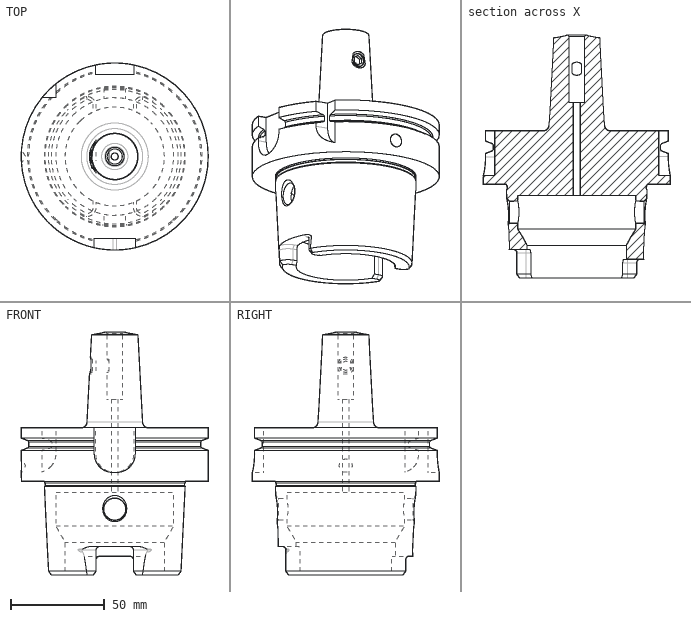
import cadquery as cq
import math


flange_radius = 50.0
flange_top = 28.7
groove_height = 19.9
groove_floor_radius = 46.0
groove_shoulder_radius = 46.6
groove_mouth_half = 3.2
groove_shoulder_half = 2.0
groove_floor_half = 1.3

shank_length = 50.0
taper_top_radius = 37.7
taper_bottom_radius = 35.5
relief_radius = 37.3
relief_top = 0.8
relief_slope_start = 2.2
relief_bottom = 2.7
shank_mouth_radius = 26.5
shank_undercut_radius = 31.5
shank_undercut_cone_bottom = -32.5
shank_undercut_cone_top = -23.9
shank_bore_top = -6.0
shank_chamfer_width = 1.5
shank_chamfer_height = 2.1

overall_height = 129.9
nose_top = overall_height - shank_length
nose_root_radius = 15.0
nose_root_fillet = 3.0
nose_tip_radius = 12.5
nose_shoulder = 78.5
nose_edge_chamfer = 0.3
face_inner_radius = 7.0
face_inner_height = 79.4
rim_radius = 5.3

tool_bore_radius = 4.0
tool_bore_depth = 36.0
tool_bore_chamfer = 0.9
coolant_radius = 1.8

screw_height = 61.8
spotface_radius = 4.5
spotface_x = -12.7
screw_radius = 3.5
screw_head_x = -12.0
screw_tip_x = -3.1
socket_across_corners = 5.2
socket_depth = 2.0

slot_floor = 43.9
slot_bottom = 4.8
front_slot_width = 22.0
rear_slot_width = 20.4
front_slot_corner_radius = 10.0
slot_length = 13.0
notch_wall_x = -31.5
notch_floor_y = 31.6

chip_hole_radius = 3.5
chip_hole_height = 8.5
chip_hole_depth = 0.3
drill_half_angle = 59.0

cross_hole_height = -14.8
cross_hole_radius = 5.8
cross_hole_mouth_radius = 7.0

keyway_width = 19.9
keyway_half_width = keyway_width / 2
keyway_side_reach = 32.1
key_round = 5.1
key_flank_angle = 30.0
keyway_ceiling_fillet = 1.8
front_keyway_top = -34.8
rear_keyway_top = -40.0

clearance = 6.5


def outer_body():
    """Solid of revolution of shank, flange and nose, without any bores."""
    bottom = -shank_length
    fillet_end = nose_root_radius + nose_root_fillet
    fillet_mid = nose_root_fillet * (1 - math.sqrt(0.5))
    return (
        cq.Workplane("XZ")
        .moveTo(0, bottom)
        .lineTo(taper_bottom_radius - shank_chamfer_width, bottom)
        .lineTo(taper_bottom_radius, bottom + shank_chamfer_height)
        .lineTo(taper_top_radius, -relief_bottom)
        .lineTo(relief_radius, -relief_slope_start)
        .lineTo(relief_radius, -relief_top)
        .lineTo(taper_top_radius, -relief_top)
        .lineTo(taper_top_radius, 0)
        .lineTo(flange_radius, 0)
        .lineTo(flange_radius, groove_height - groove_mouth_half)
        .lineTo(groove_shoulder_radius, groove_height - groove_shoulder_half)
        .lineTo(groove_floor_radius, groove_height - groove_floor_half)
        .lineTo(groove_floor_radius, groove_height + groove_floor_half)
        .lineTo(groove_shoulder_radius, groove_height + groove_shoulder_half)
        .lineTo(flange_radius, groove_height + groove_mouth_half)
        .lineTo(flange_radius, flange_top)
        .lineTo(fillet_end, flange_top)
        .threePointArc(
            (nose_root_radius + fillet_mid, flange_top + fillet_mid),
            (nose_root_radius, flange_top + nose_root_fillet),
        )
        .lineTo(nose_tip_radius, nose_shoulder - nose_edge_chamfer)
        .lineTo(nose_tip_radius - nose_edge_chamfer, nose_shoulder)
        .lineTo(face_inner_radius, face_inner_height)
        .lineTo(rim_radius, nose_top)
        .lineTo(0, nose_top)
        .close()
        .revolve(360, (0, 0, 0), (0, 1, 0))
    )


def keyway_outline(z):
    """Keyway outline on the -Y side at height z, flaring outward around the two rounded keys."""
    angle = math.radians(key_flank_angle)
    mid_angle = (angle + math.pi / 2) / 2
    round_x = keyway_half_width + key_round
    round_y = -keyway_side_reach + key_round
    tangent_x = round_x + key_round * math.sin(angle)
    tangent_y = round_y - key_round * math.cos(angle)
    mid_x = round_x - key_round * math.cos(mid_angle)
    mid_y = round_y - key_round * math.sin(mid_angle)
    outer_x = taper_top_radius
    flank_end_y = tangent_y + (outer_x - tangent_x) * math.tan(angle)
    return (
        cq.Workplane("XY", origin=(0, 0, z))
        .moveTo(-keyway_half_width, 0)
        .lineTo(keyway_half_width, 0)
        .lineTo(keyway_half_width, round_y)
        .threePointArc((mid_x, mid_y), (tangent_x, tangent_y))
        .lineTo(outer_x, flank_end_y)
        .lineTo(outer_x, -flange_radius)
        .lineTo(-outer_x, -flange_radius)
        .lineTo(-outer_x, flank_end_y)
        .lineTo(-tangent_x, tangent_y)
        .threePointArc((-mid_x, mid_y), (-keyway_half_width, round_y))
        .close()
    )


def keyway(top):
    """Keyway with a filleted ceiling and a flared foot that chamfers the key ends."""
    bottom = -shank_length
    flare_angle = math.degrees(math.atan(shank_chamfer_width / shank_chamfer_height))
    slot = keyway_outline(bottom).extrude(top - bottom).faces(">Z").edges().fillet(keyway_ceiling_fillet)
    foot = keyway_outline(bottom + shank_chamfer_height).extrude(-shank_chamfer_height, taper=-flare_angle)
    return slot.union(foot)


def shank_bore():
    """Bore of the hollow shank, widened above a conical clamping shoulder."""
    return (
        cq.Workplane("XZ")
        .moveTo(0, -shank_length)
        .lineTo(shank_mouth_radius, -shank_length)
        .lineTo(shank_mouth_radius, shank_undercut_cone_bottom)
        .lineTo(shank_undercut_radius, shank_undercut_cone_top)
        .lineTo(shank_undercut_radius, shank_bore_top)
        .lineTo(0, shank_bore_top)
        .close()
        .revolve(360, (0, 0, 0), (0, 1, 0))
    )


def cut_keyways(body):
    front = keyway(front_keyway_top)
    rear = keyway(rear_keyway_top).rotate((0, 0, 0), (0, 0, 1), 180)
    return body.cut(front).cut(rear)


def cross_hole():
    """Through hole along Y with a 45 degree countersink at each end."""
    taper_slope = (taper_top_radius - taper_bottom_radius) / (shank_length - relief_bottom)
    surface_y = taper_top_radius + (cross_hole_height + relief_bottom) * taper_slope
    cone_base = surface_y + clearance
    cone_radius = cross_hole_mouth_radius + clearance
    half_profile = (
        cq.Workplane("XY", origin=(0, 0, cross_hole_height))
        .moveTo(0, 0)
        .lineTo(cross_hole_radius, 0)
        .lineTo(cross_hole_radius, cone_base - (cone_radius - cross_hole_radius))
        .lineTo(cone_radius, cone_base)
        .lineTo(0, cone_base)
        .close()
        .revolve(360, (0, 0, 0), (0, 1, 0))
    )
    return half_profile.union(half_profile.mirror("XZ"))


def tool_bore():
    """Tool bore with a chamfered mouth and the coolant hole below it."""
    floor = nose_top - tool_bore_depth
    return (
        cq.Workplane("XZ")
        .moveTo(0, shank_bore_top - clearance)
        .lineTo(coolant_radius, shank_bore_top - clearance)
        .lineTo(coolant_radius, floor)
        .lineTo(tool_bore_radius, floor)
        .lineTo(tool_bore_radius, nose_top - tool_bore_chamfer)
        .lineTo(tool_bore_radius + tool_bore_chamfer, nose_top)
        .lineTo(0, nose_top)
        .close()
        .revolve(360, (0, 0, 0), (0, 1, 0))
    )


def screw_plane(x):
    return cq.Workplane("YZ", origin=(x, 0, screw_height))


def add_clamping_screw(body):
    """Spotface and screw hole, filled by a recessed socket screw that reaches into the tool bore."""
    spotface = screw_plane(spotface_x).circle(spotface_radius).extrude(-clearance)
    hole = screw_plane(screw_tip_x).circle(screw_radius).extrude(spotface_x - screw_tip_x)
    screw = screw_plane(screw_tip_x).circle(screw_radius).extrude(screw_head_x - screw_tip_x)
    socket = (
        screw_plane(screw_head_x)
        .transformed(rotate=(0, 0, 90))
        .polygon(6, socket_across_corners)
        .extrude(socket_depth)
    )
    return body.cut(spotface).cut(hole).union(screw.cut(socket))


def rim_slot(width, corner_radius):
    """Slot on the -Y side, open at the flange top, with rounded lower corners."""
    half_width = width / 2
    half_flat = half_width - corner_radius
    corner_height = slot_bottom + corner_radius
    diagonal = corner_radius * math.sqrt(0.5)
    top = flange_top + clearance
    outline = (
        cq.Workplane("XZ", origin=(0, -slot_floor, 0))
        .moveTo(half_width, top)
        .lineTo(half_width, corner_height)
        .threePointArc((half_flat + diagonal, corner_height - diagonal), (half_flat, slot_bottom))
    )
    if half_flat > 0:
        outline = outline.lineTo(-half_flat, slot_bottom)
    return (
        outline
        .threePointArc((-half_flat - diagonal, corner_height - diagonal), (-half_width, corner_height))
        .lineTo(-half_width, top)
        .close()
        .extrude(slot_length)
    )


def cut_flange_slots(body):
    front = rim_slot(front_slot_width, front_slot_corner_radius)
    rear = rim_slot(rear_slot_width, rear_slot_width / 2).rotate((0, 0, 0), (0, 0, 1), 180)
    notch = rim_slot(front_slot_width, front_slot_corner_radius).translate(
        (notch_wall_x - front_slot_width / 2, notch_floor_y + slot_floor + slot_length, 0)
    )
    return body.cut(front).cut(rear).cut(notch)


def chip_hole():
    """Shallow drilled hole along X, ending in a drill point."""
    tip_length = chip_hole_radius / math.tan(math.radians(drill_half_angle))
    shoulder = -flange_radius + chip_hole_depth
    return (
        cq.Workplane("XZ")
        .moveTo(-flange_radius - clearance, chip_hole_height)
        .lineTo(-flange_radius - clearance, chip_hole_height + chip_hole_radius)
        .lineTo(shoulder, chip_hole_height + chip_hole_radius)
        .lineTo(shoulder + tip_length, chip_hole_height)
        .close()
        .revolve(360, (0, chip_hole_height, 0), (1, chip_hole_height, 0))
    )


body = outer_body().cut(shank_bore())
body = cut_keyways(body)
body = body.cut(cross_hole())
body = body.cut(tool_bore())
body = add_clamping_screw(body)
body = cut_flange_slots(body)
result = body.cut(chip_hole())